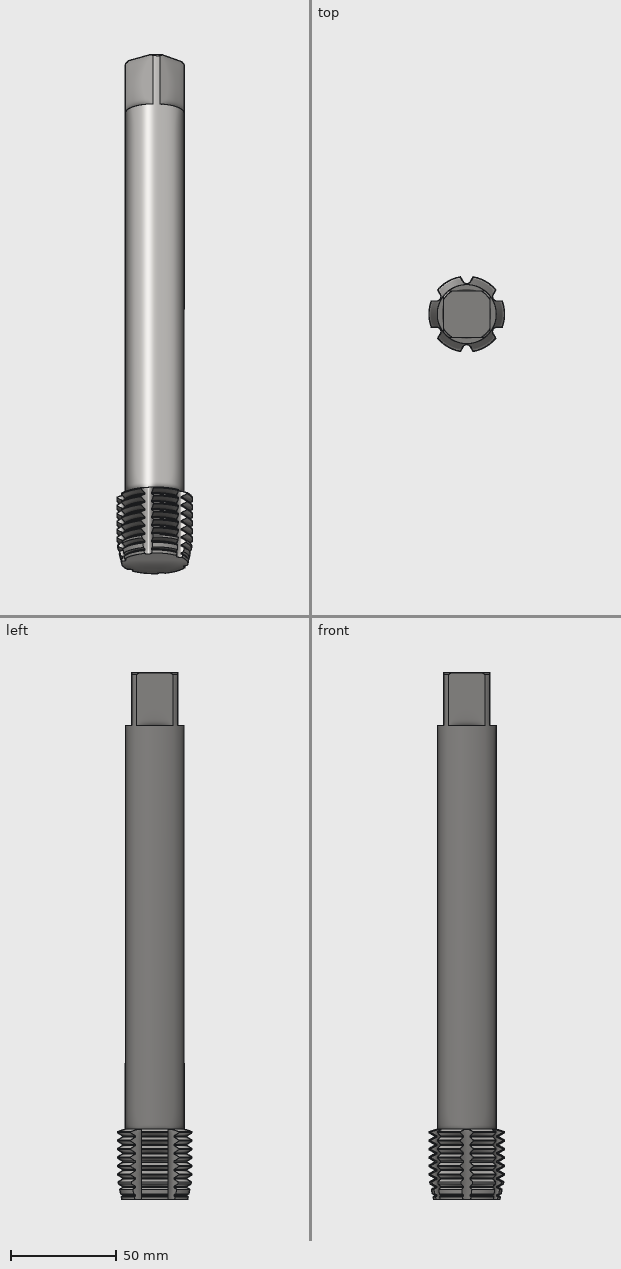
import cadquery as cq
import math

total_length = 250.0
drive_length = 25.0

shank_radius = 14.0
drive_across_flats = 22.0
drive_chamfer = 1.0

pitch = 4.0
crest_radius = 18.0
crest_width = 0.5
root_width = 0.5
flank_angle = 30.0
top_ring_number = 8
half_crest = crest_width / 2
half_root = root_width / 2
tooth_depth = (pitch / 2 - half_crest - half_root) / math.tan(math.radians(flank_angle))
root_radius = crest_radius - tooth_depth
top_ring_z = top_ring_number * pitch

lead_length = 10.0
lead_end_radius = 15.8

top_cone_height = 1.2
head_length = top_ring_z + half_crest + top_cone_height

flute_count = 6
first_flute_angle = 30.0
flute_floor_radius = 2.0
flute_axis_distance = 16.5
flute_wall_angle = 30.0
flute_outer_reach = 20.0


def make_shank():
    """Round shank standing on the head, with a square drive at its upper end."""
    round_bar = (
        cq.Workplane("XY", origin=(0, 0, head_length))
        .circle(shank_radius)
        .extrude(total_length - head_length)
        .faces(">Z")
        .chamfer(drive_chamfer)
    )
    drive_base_z = total_length - drive_length
    waste = (
        cq.Workplane("XY", origin=(0, 0, drive_base_z))
        .circle(2 * shank_radius)
        .rect(drive_across_flats, drive_across_flats)
        .extrude(drive_length)
    )
    return round_bar.cut(waste)


def make_threaded_blank():
    """Body of revolution whose outline carries one tooth per ring."""
    outline = [(0, 0), (crest_radius, 0), (crest_radius, half_crest)]
    for ring in range(1, top_ring_number + 1):
        ring_z = ring * pitch
        outline += [
            (root_radius, ring_z - pitch / 2 - half_root),
            (root_radius, ring_z - pitch / 2 + half_root),
            (crest_radius, ring_z - half_crest),
            (crest_radius, ring_z + half_crest),
        ]
    outline += [(shank_radius, head_length), (0, head_length)]
    return cq.Workplane("YZ").polyline(outline).close().revolve(360, (0, 0), (0, 1))


def make_lead_envelope():
    """Space within the crest cylinder, narrowed to a cone over the lead at the cutting end."""
    outline = [
        (0, 0),
        (lead_end_radius, 0),
        (crest_radius, lead_length),
        (crest_radius, head_length),
        (0, head_length),
    ]
    return cq.Workplane("YZ").polyline(outline).close().revolve(360, (0, 0), (0, 1))


def make_flute_cutter():
    """Cutter for one flute, centred on the +X direction."""
    wall = math.radians(flute_wall_angle)
    tangent_x = flute_axis_distance - flute_floor_radius * math.sin(wall)
    tangent_y = flute_floor_radius * math.cos(wall)
    outer_y = tangent_y + (flute_outer_reach - tangent_x) * math.tan(wall)
    return (
        cq.Workplane("XY")
        .moveTo(flute_outer_reach, -outer_y)
        .lineTo(tangent_x, -tangent_y)
        .threePointArc((flute_axis_distance - flute_floor_radius, 0), (tangent_x, tangent_y))
        .lineTo(flute_outer_reach, outer_y)
        .close()
        .extrude(head_length)
    )


def make_head():
    """Threaded head with a tapered lead and straight flutes."""
    head = make_threaded_blank().intersect(make_lead_envelope())
    cutter = make_flute_cutter()
    for flute in range(flute_count):
        angle = first_flute_angle + flute * 360 / flute_count
        head = head.cut(cutter.rotate((0, 0, 0), (0, 0, 1), angle))
    return head


shank = make_shank()
head = make_head()
result = cq.Compound.makeCompound([shank.solids().val(), head.solids().val()])